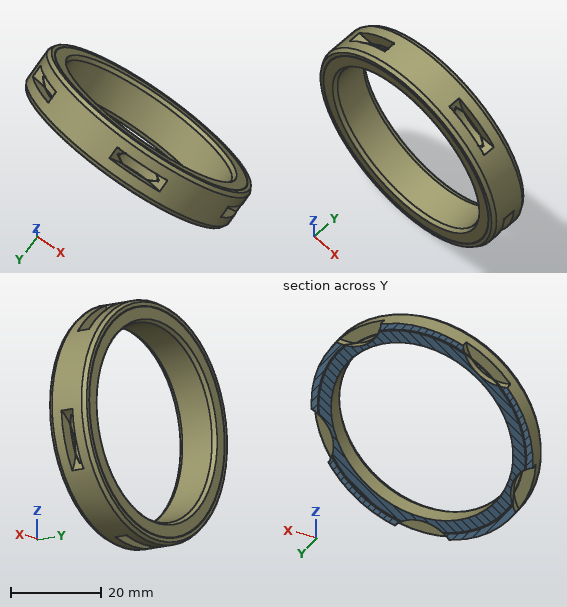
import cadquery as cq
import math

outer_radius = 27.5
bore_radius = 22.5
width = 10.0
half_width = width / 2
chamfer_axial = 1.0
chamfer_angle = 30.0
chamfer_radial = chamfer_axial * math.tan(math.radians(chamfer_angle))

crest_radius = 25.95
crest_flat = 0.45
joint_gap = 0.15
crest_half_flat = crest_flat / 2
middle_radius = crest_radius - crest_half_flat
valley_y = half_width / 2
valley_radius = crest_radius - valley_y

slot_count = 5
slot_width = 3.0
slot_half_angle = 14.25
slot_disc_radius = 9.0
first_slot_angle = -90.0


def joint_points(offset):
    """Zigzag joint from the +Y face to the -Y face, shifted radially by offset."""
    crest = crest_radius + offset
    valley = valley_radius + offset
    middle = middle_radius + offset
    return [
        (crest, half_width),
        (valley, valley_y),
        (middle, crest_half_flat),
        (middle, -crest_half_flat),
        (valley, -valley_y),
        (crest, -half_width),
    ]


def revolve_about_y(profile_points):
    """Turn a closed (radius, y) profile into a ring."""
    return cq.Workplane("XY").polyline(profile_points).close().revolve(360, (0, 0, 0), (0, 1, 0))


def slot_cutters():
    """Discs that sink the slots into the rim."""
    half_chord = outer_radius * math.sin(math.radians(slot_half_angle))
    chord_distance = outer_radius * math.cos(math.radians(slot_half_angle))
    disc_distance = chord_distance + math.sqrt(slot_disc_radius**2 - half_chord**2)
    disc = (
        cq.Workplane("XZ")
        .center(disc_distance, 0)
        .circle(slot_disc_radius)
        .extrude(slot_width / 2, both=True)
    )
    cutters = []
    for index in range(slot_count):
        angle = first_slot_angle + index * 360 / slot_count
        cutters.append(disc.rotate((0, 0, 0), (0, 1, 0), -angle))
    return cutters


def cut_slots(ring):
    for cutter in slot_cutters():
        ring = ring.cut(cutter)
    return ring


def make_outer_ring():
    rim_half_width = half_width - chamfer_axial
    face_radius = outer_radius - chamfer_radial
    rim = [
        (face_radius, -half_width),
        (outer_radius, -rim_half_width),
        (outer_radius, rim_half_width),
        (face_radius, half_width),
    ]
    return cut_slots(revolve_about_y(joint_points(joint_gap / 2) + rim))


def make_inner_ring():
    bore_half_width = half_width - chamfer_axial
    face_radius = bore_radius + chamfer_radial
    bore = [
        (face_radius, -half_width),
        (bore_radius, -bore_half_width),
        (bore_radius, bore_half_width),
        (face_radius, half_width),
    ]
    return cut_slots(revolve_about_y(joint_points(-joint_gap / 2) + bore))


outer_ring = make_outer_ring()
inner_ring = make_inner_ring()
result = cq.Compound.makeCompound([outer_ring.val(), inner_ring.val()])